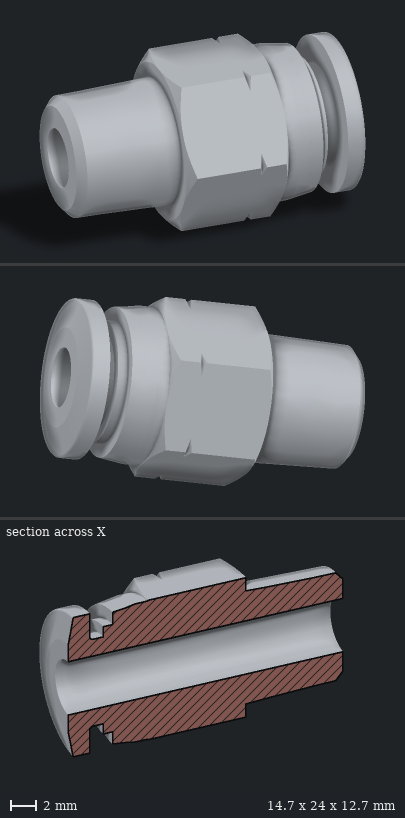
import cadquery as cq
import math

LENGTH = 24.0
BORE_DIAMETER = 4.8

THREAD_END_DIAMETER = 9.85
THREAD_ROOT_DIAMETER = 10.32
THREAD_TIP_DIAMETER = 8.38
THREAD_CHAMFER_LENGTH = 0.65

HEX_START = 8.47
HEX_END = 17.1
HEX_ACROSS_FLATS = 12.7
HEX_CHAMFER_ANGLE = 30.0
GROOVE_POSITION = 14.62
GROOVE_ROOT_DIAMETER = 13.63
GROOVE_WIDTH = 0.55

COLLAR_DIAMETER = 12.6
COLLAR_TAPER_START = 18.1
COLLAR_END = 20.14
COLLAR_END_DIAMETER = 12.0

RING_DIAMETER = 9.8
RING_END = 20.93
NECK_DIAMETER = 7.95
NECK_FILLET = 0.3
BUTTON_DIAMETER = 12.7
BUTTON_START = 22.1
BUTTON_FACE_DIAMETER = 7.95
BUTTON_RIM = 23.57
BUTTON_EDGE_RADIUS = 0.2

hex_corner_radius = HEX_ACROSS_FLATS / math.sqrt(3)


def revolve_about_y(profile):
    return profile.close().revolve(360, (0, 0, 0), (0, 1, 0))


def cylinder(diameter, start, end):
    return cq.Workplane("XZ", origin=(0, start, 0)).circle(diameter / 2).extrude(start - end)


def make_thread():
    return revolve_about_y(
        cq.Workplane("XY")
        .lineTo(THREAD_TIP_DIAMETER / 2, 0)
        .lineTo(THREAD_END_DIAMETER / 2, THREAD_CHAMFER_LENGTH)
        .lineTo(THREAD_ROOT_DIAMETER / 2, HEX_START)
        .lineTo(0, HEX_START)
    )


def make_hexagon():
    prism = (
        cq.Workplane("XZ", origin=(0, HEX_START, 0))
        .polygon(6, 2 * hex_corner_radius)
        .extrude(HEX_START - HEX_END)
    )
    face_radius = HEX_ACROSS_FLATS / 2
    chamfer_length = (hex_corner_radius - face_radius) * math.tan(math.radians(HEX_CHAMFER_ANGLE))
    envelope = revolve_about_y(
        cq.Workplane("XY")
        .moveTo(0, HEX_START)
        .lineTo(face_radius, HEX_START)
        .lineTo(hex_corner_radius, HEX_START + chamfer_length)
        .lineTo(hex_corner_radius, GROOVE_POSITION - GROOVE_WIDTH / 2)
        .lineTo(GROOVE_ROOT_DIAMETER / 2, GROOVE_POSITION)
        .lineTo(hex_corner_radius, GROOVE_POSITION + GROOVE_WIDTH / 2)
        .lineTo(hex_corner_radius, HEX_END - chamfer_length)
        .lineTo(face_radius, HEX_END)
        .lineTo(0, HEX_END)
    )
    return prism.intersect(envelope)


def make_collar():
    return revolve_about_y(
        cq.Workplane("XY")
        .moveTo(0, HEX_END)
        .lineTo(COLLAR_DIAMETER / 2, HEX_END)
        .lineTo(COLLAR_DIAMETER / 2, COLLAR_TAPER_START)
        .lineTo(COLLAR_END_DIAMETER / 2, COLLAR_END)
        .lineTo(0, COLLAR_END)
    )


def make_button():
    ring = cylinder(RING_DIAMETER, COLLAR_END, RING_END)
    neck = cylinder(NECK_DIAMETER, RING_END, BUTTON_START)
    head = revolve_about_y(
        cq.Workplane("XY")
        .moveTo(0, BUTTON_START)
        .lineTo(BUTTON_DIAMETER / 2, BUTTON_START)
        .lineTo(BUTTON_DIAMETER / 2, BUTTON_RIM)
        .lineTo(BUTTON_FACE_DIAMETER / 2, LENGTH)
        .lineTo(0, LENGTH)
    )
    rim_centre = (0, BUTTON_RIM, 0)
    head = head.edges(cq.selectors.NearestToPointSelector(rim_centre)).fillet(BUTTON_EDGE_RADIUS)
    button = ring.union(neck).union(head)
    neck_corner = cq.selectors.BoxSelector(
        (-NECK_DIAMETER, BUTTON_START - NECK_FILLET, -NECK_DIAMETER),
        (NECK_DIAMETER, BUTTON_START + NECK_FILLET, NECK_DIAMETER),
    )
    neck_edges = button.edges("%CIRCLE").edges(neck_corner).edges(cq.selectors.RadiusNthSelector(0))
    return neck_edges.fillet(NECK_FILLET)


body = make_thread().union(make_hexagon()).union(make_collar()).union(make_button())
result = body.cut(cylinder(BORE_DIAMETER, 0, LENGTH))